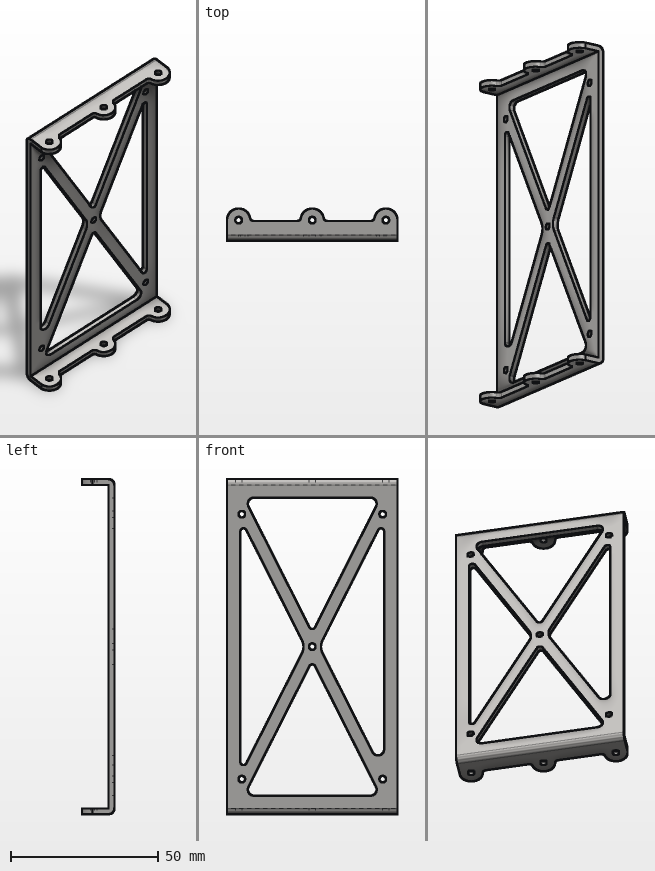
import cadquery as cq
import math

height = 114.0
width = 58.0
depth = 11.1
thickness = 2.0
bend_radius = thickness

strut_slope = 1.98
strut_width = 4.3
strut_rise = strut_width / 2 * math.hypot(1, strut_slope)

end_window_top = 50.6
side_window_edge = 24.4
large_corner = 2.0
small_corner = 1.0
hub_corner = 5.0

hole_diameter = 2.2
plate_hole_x = 23.9
plate_hole_z = 45.0

tab_radius = 4.0
tab_blend = 1.1
tab_center_y = depth - tab_radius
tab_spacing = width / 2 - tab_radius
flange_edge_y = 6.8


def rounded_corner(before, corner, after, radius):
    """Return the start, middle and end of the arc that rounds a corner."""
    to_before = (cq.Vector(*before) - cq.Vector(*corner)).normalized()
    to_after = (cq.Vector(*after) - cq.Vector(*corner)).normalized()
    half_angle = to_before.getAngle(to_after) / 2
    tangent_length = radius / math.tan(half_angle)
    bisector = (to_before + to_after).normalized()
    vertex = cq.Vector(*corner)
    start = vertex + to_before * tangent_length
    middle = vertex + bisector * (radius / math.sin(half_angle) - radius)
    end = vertex + to_after * tangent_length
    return [(point.x, point.y) for point in (start, middle, end)]


def window(corners, radii):
    """Cutter through the plate: an XZ polygon with its own radius at each corner."""
    count = len(corners)
    arcs = [
        rounded_corner(corners[i - 1], corners[i], corners[(i + 1) % count], radii[i])
        for i in range(count)
    ]
    outline = cq.Workplane("XZ").moveTo(*arcs[0][0])
    for i, (start, middle, end) in enumerate(arcs):
        if i > 0:
            outline = outline.lineTo(*start)
        outline = outline.threePointArc(middle, end)
    return outline.close().extrude(-thickness)


def end_window(side):
    """Triangle above (side = 1) or below (side = -1) the crossing."""
    half_base = (end_window_top - strut_rise) / strut_slope
    base_z = side * end_window_top
    corners = [(0, side * strut_rise), (half_base, base_z), (-half_base, base_z)]
    return window(corners, [small_corner, large_corner, large_corner])


def side_window(side, lower_radius):
    """Triangle to the right (side = 1) or left (side = -1) of the crossing."""
    tip_z = strut_slope * side_window_edge - strut_rise
    edge_x = side * side_window_edge
    corners = [(side * strut_rise / strut_slope, 0), (edge_x, tip_z), (edge_x, -tip_z)]
    return window(corners, [hub_corner, small_corner, lower_radius])


def tab(center_x):
    """Round tab with concave blends into the flange edge, over the full height."""
    blend_y = flange_edge_y + tab_blend
    center_distance = tab_radius + tab_blend
    blend_x = math.sqrt(center_distance**2 - (blend_y - tab_center_y) ** 2)
    blend_angle = math.atan2(blend_y - tab_center_y, blend_x)
    touch_x = tab_radius * math.cos(blend_angle)
    touch_y = tab_center_y + tab_radius * math.sin(blend_angle)
    middle_angle = (math.pi / 2 + blend_angle) / 2
    middle_x = blend_x - tab_blend * math.cos(middle_angle)
    middle_y = blend_y - tab_blend * math.sin(middle_angle)
    return (
        cq.Workplane("XY", origin=(center_x, 0, -height / 2))
        .moveTo(-blend_x, 0)
        .lineTo(-blend_x, flange_edge_y)
        .threePointArc((-middle_x, middle_y), (-touch_x, touch_y))
        .threePointArc((0, depth), (touch_x, touch_y))
        .threePointArc((middle_x, middle_y), (blend_x, flange_edge_y))
        .lineTo(blend_x, 0)
        .close()
        .extrude(height)
    )


def tab_column():
    """Plan shape of both flanges, extruded over the full height."""
    column = cq.Workplane("XY").box(width, flange_edge_y, height, centered=(True, False, True))
    for center_x in (-tab_spacing, 0, tab_spacing):
        column = column.union(tab(center_x))
    for side in (-1, 1):
        shoulder = cq.Workplane("XY").box(
            tab_radius, tab_center_y, height, centered=(True, False, True)
        )
        column = column.union(shoulder.translate((side * (width - tab_radius) / 2, 0, 0)))
    limits = cq.Workplane("XY").box(width, depth, height, centered=(True, False, True))
    return column.intersect(limits)


def channel():
    """Folded sheet: a front plate and two flanges, with rounded outer bends."""
    return (
        cq.Workplane("XY")
        .box(width, depth, height, centered=(True, False, True))
        .edges("|X and <Y")
        .fillet(bend_radius)
        .cut(
            cq.Workplane("XY")
            .box(width, depth, height - 2 * thickness, centered=(True, False, True))
            .translate((0, thickness, 0))
        )
    )


result = channel().intersect(tab_column())

for side in (-1, 1):
    result = result.cut(end_window(side))
result = result.cut(side_window(-1, small_corner))
result = result.cut(side_window(1, large_corner))

plate_holes = [(0, 0)] + [(x * plate_hole_x, z * plate_hole_z) for x in (-1, 1) for z in (-1, 1)]
result = result.cut(
    cq.Workplane("XZ").pushPoints(plate_holes).circle(hole_diameter / 2).extrude(-thickness)
)

tab_holes = [(x, tab_center_y) for x in (-tab_spacing, 0, tab_spacing)]
result = result.cut(
    cq.Workplane("XY")
    .pushPoints(tab_holes)
    .circle(hole_diameter / 2)
    .extrude(height / 2, both=True)
)